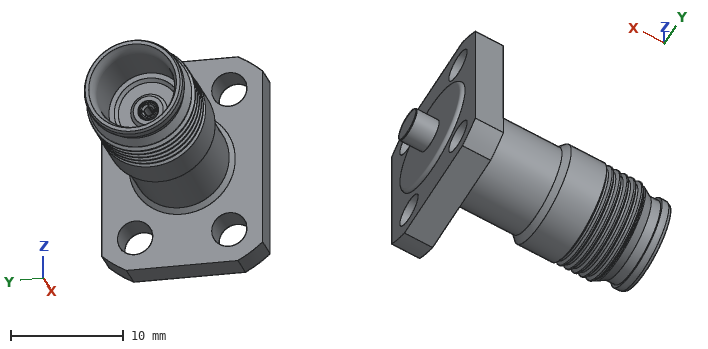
import cadquery as cq
import math

LENGTH = 24.6
FLANGE_START = 19.0
FLANGE_THICKNESS = 2.9
FLANGE_END = FLANGE_START + FLANGE_THICKNESS

FLANGE_WIDTH = 14.7
FLANGE_HEIGHT = 19.5
FLANGE_CORNER_RADIUS = 11.0
MOUNT_HOLE_DIAMETER = 3.2
MOUNT_HOLE_SPACING_Y = 8.6
MOUNT_HOLE_SPACING_Z = 13.4

LIP_FACE_RADIUS = 4.33
LIP_RADIUS = 4.5
LIP_TAPER_RADIUS = 4.48
LIP_TAPER_END = 0.3
LIP_BLEND_END = 0.54
LIP_LENGTH = 1.0
NECK_RADIUS = 4.22
NECK_END = 1.95
LEAD_IN_END = 2.84
LEAD_IN_ANGLE = 30
LEAD_IN_BACK = 0.08

THREAD_ROOT_RADIUS = 4.62
THREAD_CREST_RADIUS = 4.95
THREAD_PITCH = 0.757
THREAD_COUNT = 5
FIRST_CREST = 3.3
CREST_WIDTH = 0.16
RING_BASE_WIDTH = 0.54

COLLAR_RADIUS = 5.0
COLLAR_START = 7.0
COLLAR_FLANK = 0.2
COLLAR_END = 10.65
BARREL_RADIUS = 4.4
BARREL_FLARE = 0.45

REAR_BOSS_RADIUS = 5.55
REAR_BOSS_ROUND = 0.35
PIN_RADIUS = 1.6
PIN_CHAMFER = 0.08

BORE_MOUTH_RADIUS = 4.0
BORE_CONE_DEPTH = 0.45
BORE_CONE_RADIUS = 3.78
BORE_RADIUS = 3.58
BORE_BLEND_END = 1.3
BORE_DEPTH = 6.0
SEAT_MOUTH_RADIUS = 3.1
SEAT_RADIUS = 2.8
SEAT_DEPTH = 0.3
SEAT_FLOOR = BORE_DEPTH + SEAT_DEPTH

HUB_BASE_RADIUS = 1.67
HUB_TOP_RADIUS = 1.37
HUB_HEIGHT = 0.3
HUB_TOP = SEAT_FLOOR - HUB_HEIGHT
RECESS_MOUTH_RADIUS = 0.95
RECESS_RADIUS = 0.87
RECESS_CHAMFER_DEPTH = 0.08
RECESS_DEPTH = 2.0

CONTACT_RADIUS = 0.75
SOCKET_MOUTH_RADIUS = 0.62
SOCKET_RADIUS = 0.42
SOCKET_MOUTH_DEPTH = 0.2
SOCKET_DEPTH = RECESS_DEPTH
SLOT_WIDTH = 0.1
SLOT_DEPTH = 1.5


def revolve_about_x(points):
    """Solid of revolution from (x, radius) points, closed along the X axis."""
    outline = [(points[0][0], 0), *points, (points[-1][0], 0)]
    return cq.Workplane("XY").polyline(outline).close().revolve(360, (0, 0, 0), (1, 0, 0))


def make_shell():
    lead_in_radius = NECK_RADIUS + (LEAD_IN_END - NECK_END) * math.tan(math.radians(LEAD_IN_ANGLE))
    points = [
        (0, LIP_FACE_RADIUS),
        (LIP_TAPER_END, LIP_TAPER_RADIUS),
        (LIP_BLEND_END, LIP_RADIUS),
        (LIP_LENGTH, LIP_RADIUS),
        (LIP_LENGTH, NECK_RADIUS),
        (NECK_END, NECK_RADIUS),
        (LEAD_IN_END, lead_in_radius),
        (LEAD_IN_END + LEAD_IN_BACK, THREAD_ROOT_RADIUS),
    ]
    for index in range(THREAD_COUNT):
        crest = FIRST_CREST + index * THREAD_PITCH
        points += [
            (crest - RING_BASE_WIDTH / 2, THREAD_ROOT_RADIUS),
            (crest - CREST_WIDTH / 2, THREAD_CREST_RADIUS),
            (crest + CREST_WIDTH / 2, THREAD_CREST_RADIUS),
            (crest + RING_BASE_WIDTH / 2, THREAD_ROOT_RADIUS),
        ]
    points += [
        (COLLAR_START - COLLAR_FLANK, THREAD_ROOT_RADIUS),
        (COLLAR_START, COLLAR_RADIUS),
        (COLLAR_END, COLLAR_RADIUS),
        (COLLAR_END + COLLAR_RADIUS - BARREL_RADIUS, BARREL_RADIUS),
        (FLANGE_START - BARREL_FLARE, BARREL_RADIUS),
        (FLANGE_START, BARREL_RADIUS + BARREL_FLARE),
        (FLANGE_END, BARREL_RADIUS + BARREL_FLARE),
    ]
    return revolve_about_x(points)


def make_flange():
    plane = cq.Workplane("YZ", origin=(FLANGE_START, 0, 0))
    plate = plane.rect(FLANGE_WIDTH, FLANGE_HEIGHT).extrude(FLANGE_THICKNESS)
    corner_limit = plane.circle(FLANGE_CORNER_RADIUS).extrude(FLANGE_THICKNESS)
    holes = (
        plane.rect(MOUNT_HOLE_SPACING_Y, MOUNT_HOLE_SPACING_Z, forConstruction=True)
        .vertices()
        .circle(MOUNT_HOLE_DIAMETER / 2)
        .extrude(FLANGE_THICKNESS)
    )
    return plate.intersect(corner_limit).cut(holes)


def make_rear_boss():
    """Disc whose rear edge is fully rounded with a quarter arc."""
    rim_radius = REAR_BOSS_RADIUS - REAR_BOSS_ROUND
    arc_offset = REAR_BOSS_ROUND * math.sqrt(0.5)
    return (
        cq.Workplane("XY")
        .moveTo(FLANGE_END, 0)
        .lineTo(FLANGE_END, REAR_BOSS_RADIUS)
        .threePointArc(
            (FLANGE_END + arc_offset, rim_radius + arc_offset),
            (FLANGE_END + REAR_BOSS_ROUND, rim_radius),
        )
        .lineTo(FLANGE_END + REAR_BOSS_ROUND, 0)
        .close()
        .revolve(360, (0, 0, 0), (1, 0, 0))
    )


def make_rear_pin():
    return revolve_about_x([
        (FLANGE_END, PIN_RADIUS),
        (LENGTH - PIN_CHAMFER, PIN_RADIUS),
        (LENGTH, PIN_RADIUS - PIN_CHAMFER),
    ])


def make_bore():
    """Bore with a conical mouth that blends tangentially into a cylinder."""
    return (
        cq.Workplane("XY")
        .lineTo(0, BORE_MOUTH_RADIUS)
        .lineTo(BORE_CONE_DEPTH, BORE_CONE_RADIUS)
        .tangentArcPoint((BORE_BLEND_END, BORE_RADIUS), relative=False)
        .lineTo(BORE_DEPTH, BORE_RADIUS)
        .lineTo(BORE_DEPTH, SEAT_MOUTH_RADIUS)
        .lineTo(SEAT_FLOOR, SEAT_RADIUS)
        .lineTo(SEAT_FLOOR, 0)
        .close()
        .revolve(360, (0, 0, 0), (1, 0, 0))
    )


def make_hub():
    return revolve_about_x([
        (HUB_TOP, HUB_TOP_RADIUS),
        (SEAT_FLOOR, HUB_BASE_RADIUS),
    ])


def make_recess():
    return revolve_about_x([
        (HUB_TOP, RECESS_MOUTH_RADIUS),
        (HUB_TOP + RECESS_CHAMFER_DEPTH, RECESS_RADIUS),
        (HUB_TOP + RECESS_DEPTH, RECESS_RADIUS),
    ])


def make_contact():
    contact = revolve_about_x([
        (HUB_TOP, CONTACT_RADIUS),
        (HUB_TOP + RECESS_DEPTH, CONTACT_RADIUS),
    ])
    socket = revolve_about_x([
        (HUB_TOP, SOCKET_MOUTH_RADIUS),
        (HUB_TOP + SOCKET_MOUTH_DEPTH, SOCKET_RADIUS),
        (HUB_TOP + SOCKET_DEPTH, SOCKET_RADIUS),
    ])
    contact = contact.cut(socket)
    slot_plane = cq.Workplane("YZ", origin=(HUB_TOP, 0, 0))
    for slot_angle in (0, 90):
        slot = slot_plane.rect(2 * CONTACT_RADIUS, SLOT_WIDTH).extrude(SLOT_DEPTH)
        contact = contact.cut(slot.rotate((0, 0, 0), (1, 0, 0), slot_angle))
    return contact


body = make_shell().union(make_flange()).union(make_rear_boss()).union(make_rear_pin())
body = body.cut(make_bore()).union(make_hub()).cut(make_recess())
result = body.union(make_contact())